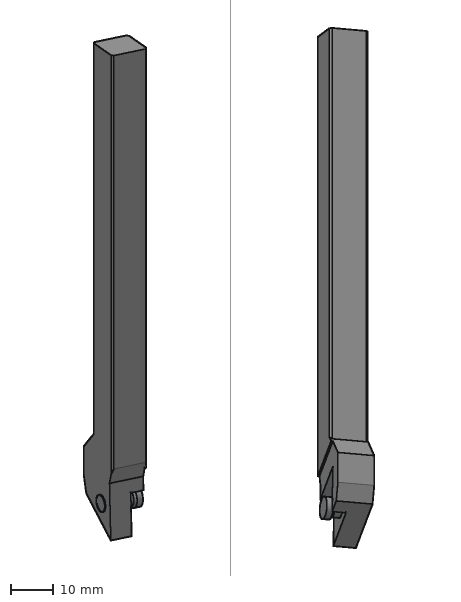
import cadquery as cq
import math


overall_length = 124.08
overall_width = 14.0
shank_size = 9.525
shank_left = overall_width - shank_size
shank_chamfer = 0.5

head_thickness = 9.1
crank_top = 23.7
crank_bottom = crank_top - shank_left
heel_top = 12.0
heel_corner_x = 1.25
heel_corner_z = 7.7
tip_x = 13.4
flank_top_x = 12.75
flank_top_z = 14.4
taper_top = 18.5
bottom_slope = heel_corner_z / (tip_x - heel_corner_x)

step_start_x = 3.7
step_start_z = crank_bottom + step_start_x

pocket_floor = 5.65
pocket_corner_x = 4.2

screw_x = 8.75
screw_z = 7.85
screw_diameter = 4.2
screw_length = 10.0
screw_head_top = 9.75
screw_tip = screw_head_top - screw_length
screw_head_diameter = 5.4
screw_rim_height = 1.6
screw_cone_height = (screw_head_diameter - screw_diameter) / 2


def prism(outline, y_start, y_end):
    """Extrude an outline of (X, Z) points from y_start to y_end."""
    plane = cq.Workplane("XZ", origin=(0, y_start, 0))
    return plane.polyline(outline).close().extrude(y_start - y_end)


def make_blank():
    """Side outline of shank and head at full thickness, with the long shank edges chamfered."""
    outline = [
        (tip_x, 0),
        (flank_top_x, flank_top_z),
        (overall_width, taper_top),
        (overall_width, overall_length),
        (shank_left, overall_length),
        (shank_left, crank_top),
        (0, crank_bottom),
        (0, heel_top),
        (heel_corner_x, heel_corner_z),
    ]
    blank = prism(outline, 0, shank_size)
    shank_edges = cq.selectors.BoxSelector(
        (0, -shank_size, overall_length / 3),
        (2 * overall_width, 2 * shank_size, overall_length * 2 / 3),
    )
    return blank.edges("|Z").edges(shank_edges).chamfer(shank_chamfer)


def head_relief():
    """Region below the sloping step, which thins the head on its +Y side."""
    outline = [
        (0, 0),
        (0, step_start_z + bottom_slope * step_start_x),
        (overall_width, step_start_z - bottom_slope * (overall_width - step_start_x)),
        (overall_width, 0),
    ]
    return prism(outline, head_thickness, shank_size)


def insert_pocket():
    """Rhombus at the tip, with sides along the bottom edge and along the flank."""
    corner_z = bottom_slope * (tip_x - pocket_corner_x)
    side_length = math.hypot(tip_x - pocket_corner_x, corner_z)
    flank_length = math.hypot(tip_x - flank_top_x, flank_top_z)
    flank_shift_x = (flank_top_x - tip_x) * side_length / flank_length
    flank_shift_z = flank_top_z * side_length / flank_length
    outline = [
        (tip_x, 0),
        (pocket_corner_x, corner_z),
        (pocket_corner_x + flank_shift_x, corner_z + flank_shift_z),
        (tip_x + flank_shift_x, flank_shift_z),
    ]
    return prism(outline, pocket_floor, shank_size)


def screw_hole():
    """Through hole from the base face to the pocket floor."""
    plane = cq.Workplane("XZ", origin=(screw_x, 0, screw_z))
    return plane.circle(screw_diameter / 2).extrude(-pocket_floor)


def make_holder():
    """Shank and head in one piece, with the empty insert pocket and the screw hole."""
    return make_blank().cut(head_relief()).cut(insert_pocket()).cut(screw_hole())


def make_screw():
    """Countersunk screw whose stem passes through the pocket floor."""
    rim_y = screw_head_top - screw_rim_height
    half_profile = [
        (0, screw_tip),
        (screw_diameter / 2, screw_tip),
        (screw_diameter / 2, rim_y - screw_cone_height),
        (screw_head_diameter / 2, rim_y),
        (screw_head_diameter / 2, screw_head_top),
        (0, screw_head_top),
    ]
    screw = cq.Workplane("XY").polyline(half_profile).close().revolve(360, (0, 0), (0, 1))
    return screw.translate((screw_x, 0, screw_z))


holder = make_holder()
screw = make_screw()

result = cq.Compound.makeCompound([holder.val(), screw.val()])